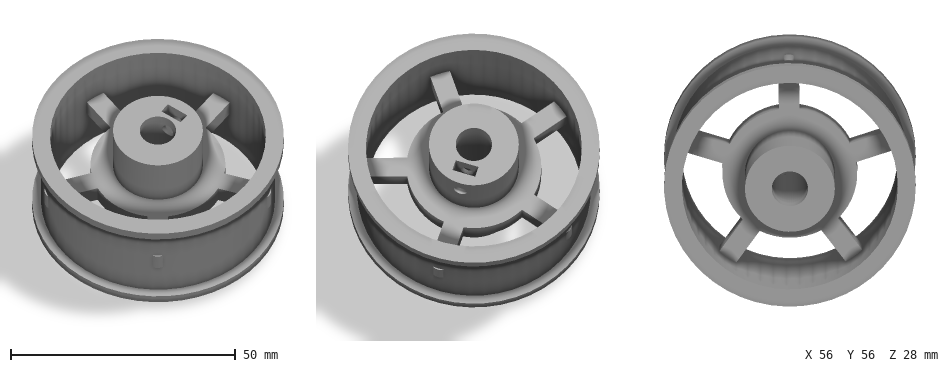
import cadquery as cq
import math

FLANGE_DIAMETER = 55.95
DRUM_DIAMETER = 52.0
RIM_BORE_DIAMETER = 47.95
RIM_HEIGHT = 24.0
FLANGE_THICKNESS = 2.0

HUB_DIAMETER = 19.95
HUB_HEIGHT = 28.0
BORE_DIAMETER = 8.05
DISC_DIAMETER = 30.0
WEB_HEIGHT = 4.0
SPOKE_COUNT = 5
SPOKE_WIDTH = 4.6
SPOKE_TIP_PROTRUSION = 0.35
SPOKE_TIP_RADIUS = DRUM_DIAMETER / 2 + SPOKE_TIP_PROTRUSION

NUT_FLATS = 5.3
NUT_THICKNESS = 2.45
NUT_CENTER_Y = 6.15
SCREW_DIAMETER = 3.0
SCREW_DEPTH = 3.95


def cylinder(diameter, height):
    """Vertical cylinder centred on the origin."""
    return cq.Workplane("XY", origin=(0, 0, -height / 2)).circle(diameter / 2).extrude(height)


def make_rim():
    """Drum with a flange at each end, bored through."""
    rim = cylinder(DRUM_DIAMETER, RIM_HEIGHT)
    flange = cylinder(FLANGE_DIAMETER, FLANGE_THICKNESS)
    flange_offset = (RIM_HEIGHT - FLANGE_THICKNESS) / 2
    for side in (-1, 1):
        rim = rim.union(flange.translate((0, 0, side * flange_offset)))
    return rim.cut(cylinder(RIM_BORE_DIAMETER, RIM_HEIGHT))


def make_spoke():
    """Spoke along +Y whose round end just breaks through the drum."""
    half_width = SPOKE_WIDTH / 2
    straight_end = SPOKE_TIP_RADIUS - half_width
    return (
        cq.Workplane("XY", origin=(0, 0, -WEB_HEIGHT / 2))
        .moveTo(-half_width, 0)
        .lineTo(half_width, 0)
        .lineTo(half_width, straight_end)
        .threePointArc((0, SPOKE_TIP_RADIUS), (-half_width, straight_end))
        .close()
        .extrude(WEB_HEIGHT)
    )


def make_nut_trap():
    """Hexagonal nut pocket, corner down, open to the top of the hub."""
    screw_z = HUB_HEIGHT / 2 - SCREW_DEPTH
    front_y = NUT_CENTER_Y - NUT_THICKNESS / 2
    nut_corners = NUT_FLATS / math.cos(math.pi / 6)
    nut = (
        cq.Workplane("XZ", origin=(0, front_y, screw_z))
        .transformed(rotate=(0, 0, 90))
        .polygon(6, nut_corners)
        .extrude(-NUT_THICKNESS)
    )
    entry = (
        cq.Workplane("XY", origin=(0, NUT_CENTER_Y, screw_z))
        .rect(NUT_FLATS, NUT_THICKNESS)
        .extrude(SCREW_DEPTH)
    )
    return nut.union(entry)


def make_screw_hole():
    """Radial hole from the bore out through the +Y side of the hub."""
    return (
        cq.Workplane("XZ", origin=(0, 0, HUB_HEIGHT / 2 - SCREW_DEPTH))
        .circle(SCREW_DIAMETER / 2)
        .extrude(-HUB_DIAMETER / 2)
    )


result = make_rim().union(cylinder(HUB_DIAMETER, HUB_HEIGHT)).union(cylinder(DISC_DIAMETER, WEB_HEIGHT))
spoke = make_spoke()
for index in range(SPOKE_COUNT):
    result = result.union(spoke.rotate((0, 0, 0), (0, 0, 1), index * 360 / SPOKE_COUNT))
result = result.cut(cylinder(BORE_DIAMETER, HUB_HEIGHT)).cut(make_nut_trap()).cut(make_screw_hole())